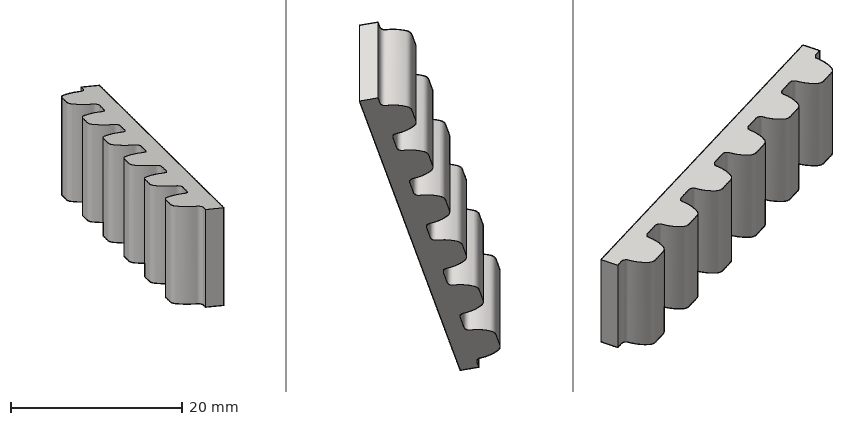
import cadquery as cq

length = 48.0
thickness = 5.55
width = 12.0

tooth_count = 6
pitch = length / tooth_count
tooth_height = 3.3

root_half_width = 2.5
middle_half_width = 2.3
tip_half_width = 1.4
root_radius = 0.6
tip_radius = 0.95

back_y = thickness / 2
tip_y = -thickness / 2
land_y = tip_y + tooth_height
middle_y = (land_y + tip_y) / 2

tooth_centres = [(i + 0.5) * pitch - length / 2 for i in range(tooth_count)]


def add_tooth(outline, centre):
    """Continue the outline along the land and around one tooth with bulged flanks."""
    return (
        outline.lineTo(centre - root_half_width, land_y)
        .threePointArc((centre - middle_half_width, middle_y), (centre - tip_half_width, tip_y))
        .lineTo(centre + tip_half_width, tip_y)
        .threePointArc((centre + middle_half_width, middle_y), (centre + root_half_width, land_y))
    )


def tooth_edges(half_width, y):
    """Select the two full-width edges of every tooth at the given half width and Y."""
    selector = None
    for centre in tooth_centres:
        for x in (centre - half_width, centre + half_width):
            edge = cq.selectors.NearestToPointSelector((x, y, 0))
            selector = edge if selector is None else selector + edge
    return selector


outline = cq.Workplane("XY").moveTo(-length / 2, back_y).lineTo(-length / 2, land_y)
for tooth_centre in tooth_centres:
    outline = add_tooth(outline, tooth_centre)
outline = outline.lineTo(length / 2, land_y).lineTo(length / 2, back_y).close()
belt = outline.extrude(width / 2, both=True)

belt = belt.edges("|Z").edges(tooth_edges(root_half_width, land_y)).fillet(root_radius)
result = belt.edges("|Z").edges(tooth_edges(tip_half_width, tip_y)).fillet(tip_radius)